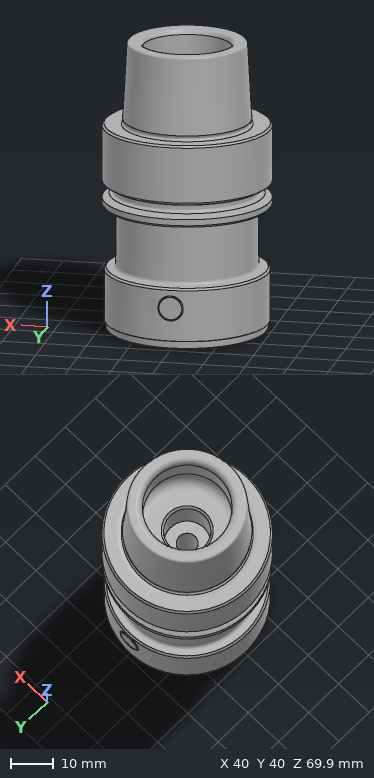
import cadquery as cq
import math

total_height = 69.9
shank_length = 20.0
flange_face_z = total_height - shank_length

shank_top_radius = 14.2
shank_base_radius = 15.2
shank_base_z = 51.0
shank_top_fillet = 0.7

neck_radius = 14.95
neck_z = 50.4
relief_bottom_radius = 15.45
relief_bottom_z = 49.7
relief_outer_radius = 16.4

flange_radius = 20.0
flange_bottom_z = 30.05
edge_chamfer = 0.5
groove_center_z = 34.05
groove_radius = 17.3
groove_half_width = 1.05
groove_fillet = 0.7
groove_lip_radius = 18.3
groove_lip_angle = 30.0
groove_lip_height = (flange_radius - groove_lip_radius) * math.tan(math.radians(groove_lip_angle))
groove_half_mouth = groove_half_width + groove_lip_height

waist_radius = 16.8
waist_fillet = 1.0

head_radius = 19.5
head_top_z = 15.0
end_step_radius = 19.1
end_step_height = 2.2
end_chamfer = 0.4

mouth_radius = 10.5
mouth_depth = 8.05
mouth_round_top_radius = 12.1
mouth_round_end_radius = 10.8
mouth_round_depth = 0.6
mouth_chamfer_radius = 10.6
mouth_chamfer_top_depth = 1.05
mouth_chamfer_bottom_depth = 1.5
chamber_radius = 12.7
chamber_slope_angle = 60.0
chamber_depth = 18.6
chamber_fillet = 2.9
chamber_slope_length = (chamber_radius - mouth_radius) / math.tan(math.radians(chamber_slope_angle))

counterbore_radius = 5.5
counterbore_chamfer = 0.55
counterbore_depth = 9.8
through_hole_radius = 2.5

screw_radius = 3.0
screw_length = 7.0
screw_chamfer = 0.3
screw_z = 10.15

quarter_turn = math.sqrt(0.5)


def revolve_profile(profile):
    """Turn a closed (radius, height) outline on the XZ plane about the Z axis."""
    return profile.close().revolve(360, (0, 0, 0), (0, 1, 0))


def corner_arc(sketch, center, radius, middle, end):
    """Draw a quarter arc about center; middle and end are directions from the center."""
    through = [c + radius * quarter_turn * m for c, m in zip(center, middle)]
    finish = [c + radius * e for c, e in zip(center, end)]
    return sketch.threePointArc(tuple(through), tuple(finish))


def draw_shank(sketch):
    """Bottom center, up the axis, over the shank top and down to the flange face."""
    fillet_center = (shank_top_radius - shank_top_fillet, total_height - shank_top_fillet)
    sketch = sketch.moveTo(0, 0).lineTo(0, total_height).lineTo(fillet_center[0], total_height)
    sketch = corner_arc(sketch, fillet_center, shank_top_fillet, (1, 1), (1, 0))
    sketch = sketch.lineTo(shank_base_radius, shank_base_z).lineTo(neck_radius, neck_z)
    relief_width = relief_bottom_radius - neck_radius
    relief_drop = neck_z - relief_bottom_z
    relief_middle = (
        relief_bottom_radius - relief_width * quarter_turn,
        neck_z - relief_drop * quarter_turn,
    )
    sketch = sketch.threePointArc(relief_middle, (relief_bottom_radius, relief_bottom_z))
    return sketch.lineTo(relief_outer_radius, flange_face_z)


def draw_flange(sketch):
    """Flange face down to its underside, with the gripper groove."""
    groove_top = groove_center_z + groove_half_width
    groove_bottom = groove_center_z - groove_half_width
    fillet_r = groove_radius + groove_fillet
    sketch = (
        sketch.lineTo(flange_radius - edge_chamfer, flange_face_z)
        .lineTo(flange_radius, flange_face_z - edge_chamfer)
        .lineTo(flange_radius, groove_center_z + groove_half_mouth)
        .lineTo(groove_lip_radius, groove_top)
        .lineTo(fillet_r, groove_top)
    )
    sketch = corner_arc(sketch, (fillet_r, groove_top - groove_fillet), groove_fillet, (-1, 1), (-1, 0))
    sketch = sketch.lineTo(groove_radius, groove_bottom + groove_fillet)
    sketch = corner_arc(sketch, (fillet_r, groove_bottom + groove_fillet), groove_fillet, (-1, -1), (0, -1))
    return (
        sketch.lineTo(groove_lip_radius, groove_bottom)
        .lineTo(flange_radius, groove_center_z - groove_half_mouth)
        .lineTo(flange_radius, flange_bottom_z + edge_chamfer)
        .lineTo(flange_radius - edge_chamfer, flange_bottom_z)
    )


def draw_waist_and_head(sketch):
    """Flange underside, filleted waist and the stepped head down to the bottom face."""
    fillet_r = waist_radius + waist_fillet
    upper_z = flange_bottom_z - waist_fillet
    lower_z = head_top_z + waist_fillet
    sketch = sketch.lineTo(fillet_r, flange_bottom_z)
    sketch = corner_arc(sketch, (fillet_r, upper_z), waist_fillet, (-1, 1), (-1, 0))
    sketch = sketch.lineTo(waist_radius, lower_z)
    sketch = corner_arc(sketch, (fillet_r, lower_z), waist_fillet, (-1, -1), (0, -1))
    return (
        sketch.lineTo(head_radius - edge_chamfer, head_top_z)
        .lineTo(head_radius, head_top_z - edge_chamfer)
        .lineTo(head_radius, end_step_height)
        .lineTo(end_step_radius, end_step_height)
        .lineTo(end_step_radius, end_chamfer)
        .lineTo(end_step_radius - end_chamfer, 0)
    )


def make_socket():
    """Hollow inside the shank: rounded mouth, clamping shoulder and wider chamber."""
    top = total_height
    floor_z = top - chamber_depth
    round_width = mouth_round_top_radius - mouth_round_end_radius
    half_sweep = math.atan(mouth_round_depth / round_width)
    round_radius = round_width / math.sin(2 * half_sweep)
    round_middle = (
        mouth_round_top_radius - round_radius * math.sin(half_sweep),
        top - round_radius * (1 - math.cos(half_sweep)),
    )
    round_end = (mouth_round_end_radius, top - mouth_round_depth)
    sketch = (
        cq.Workplane("XZ")
        .moveTo(0, top)
        .lineTo(mouth_round_top_radius, top)
        .threePointArc(round_middle, round_end)
        .lineTo(mouth_chamfer_radius, top - mouth_chamfer_top_depth)
        .lineTo(mouth_radius, top - mouth_chamfer_bottom_depth)
        .lineTo(mouth_radius, top - mouth_depth)
        .lineTo(chamber_radius, top - mouth_depth - chamber_slope_length)
        .lineTo(chamber_radius, floor_z + chamber_fillet)
    )
    fillet_center = (chamber_radius - chamber_fillet, floor_z + chamber_fillet)
    sketch = corner_arc(sketch, fillet_center, chamber_fillet, (1, -1), (0, -1))
    return revolve_profile(sketch.lineTo(0, floor_z))


def make_bores():
    """Chamfered counterbore in the socket floor and the hole through to the bottom."""
    floor_z = total_height - chamber_depth
    return revolve_profile(
        cq.Workplane("XZ")
        .moveTo(0, floor_z)
        .lineTo(counterbore_radius + counterbore_chamfer, floor_z)
        .lineTo(counterbore_radius, floor_z - counterbore_chamfer)
        .lineTo(counterbore_radius, floor_z - counterbore_depth)
        .lineTo(through_hole_radius, floor_z - counterbore_depth)
        .lineTo(through_hole_radius, 0)
        .lineTo(0, 0)
    )


def make_screw_blank():
    """Plain radial cylinder on the +Y side, its outer end level with the head's outermost line."""
    return (
        cq.Workplane("XZ", origin=(0, head_radius, screw_z))
        .circle(screw_radius)
        .extrude(screw_length)
    )


def make_screw():
    """Screw with a chamfered outer end."""
    return make_screw_blank().faces(">Y").chamfer(screw_chamfer)


def make_holder():
    """Turned holder body with its socket, bores and radial screw hole."""
    outline = draw_waist_and_head(draw_flange(draw_shank(cq.Workplane("XZ"))))
    body = revolve_profile(outline).cut(make_socket()).cut(make_bores())
    screw_hole = make_screw_blank()
    return body.cut(screw_hole)


holder = make_holder()
screw = make_screw()

result = cq.Compound.makeCompound([holder.val(), screw.val()])